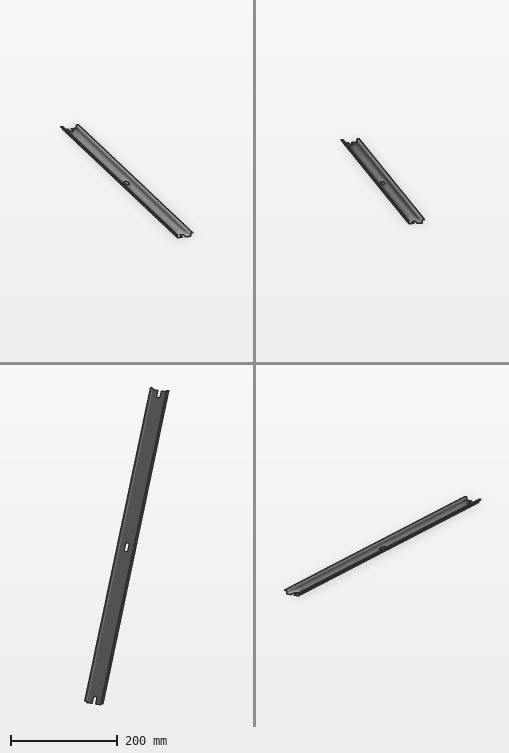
import cadquery as cq

length = 666.0
width = 35.0
height = 7.0
sheet = 1.0

channel_width = 27.0
inner_bend = 0.8
outer_bend = inner_bend + sheet

slot_width = 6.25
slot_length = 18.5
end_slot_depth = 15.0


def make_rail():
    """Extrude the hat-shaped sheet section along X and round its bends."""
    channel = cq.Workplane("XY").box(length, channel_width, height)
    flange_plate = (
        cq.Workplane("XY")
        .box(length, width, sheet)
        .translate((0, 0, (height - sheet) / 2))
    )
    inner_width = channel_width - 2 * sheet
    cavity = cq.Workplane("XY").box(length, inner_width, height).translate((0, 0, sheet))
    rail = channel.union(flange_plate).cut(cavity)

    wall_outer = channel_width / 2
    wall_inner = inner_width / 2
    top = height / 2
    bends = [
        (wall_outer, -top, outer_bend),
        (wall_inner, sheet - top, inner_bend),
        (wall_inner, top, outer_bend),
        (wall_outer, top - sheet, inner_bend),
    ]
    for y, z, radius in bends:
        for side in (-1, 1):
            edge = cq.selectors.NearestToPointSelector((0, side * y, z))
            rail = rail.edges("|X").edges(edge).fillet(radius)
    return rail


def slot_cutter(x_center, cut_length):
    """Round-ended cutter that passes through the floor."""
    return (
        cq.Workplane("XY", origin=(x_center, 0, -height))
        .slot2D(cut_length, slot_width)
        .extrude(2 * height)
    )


result = make_rail().cut(slot_cutter(0, slot_length))
for end_x in (-length / 2, length / 2):
    result = result.cut(slot_cutter(end_x, 2 * end_slot_depth))